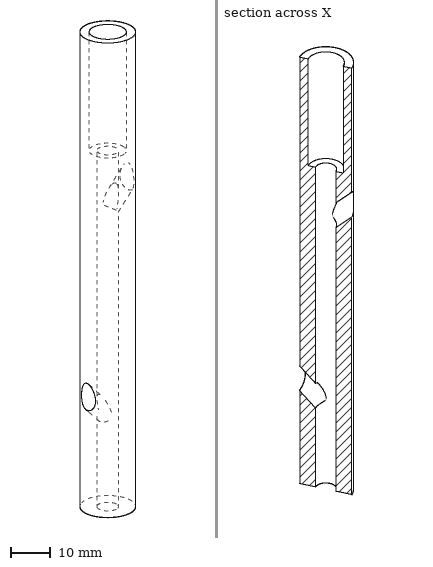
import cadquery as cq

length = 130.0
outer_diameter = 14.0
bore_diameter = 5.5
outer_radius = outer_diameter / 2

socket_diameter = 9.4
socket_depth = 32.5

side_hole_diameter = 5.2
front_hole_height = 32.1
back_hole_height = 88.4
cutter_overrun = 6.5


def side_hole(side, height):
    """Slanted cutter whose axis crosses the outer wall at y = side * outer_radius."""
    axis = cq.Vector(0, side, 1)
    outer_point = cq.Vector(0, side * outer_radius, height)
    inner_point = cq.Vector(0, 0, height - outer_radius)
    reach = (outer_point - inner_point).Length + cutter_overrun
    return cq.Workplane(cq.Solid.makeCylinder(side_hole_diameter / 2, reach, inner_point, axis))


tube = cq.Workplane("XY").circle(outer_radius).circle(bore_diameter / 2).extrude(length)
socket = cq.Workplane("XY", origin=(0, 0, length)).circle(socket_diameter / 2).extrude(-socket_depth)

result = (
    tube.cut(socket)
    .cut(side_hole(-1, front_hole_height))
    .cut(side_hole(1, back_hole_height))
)